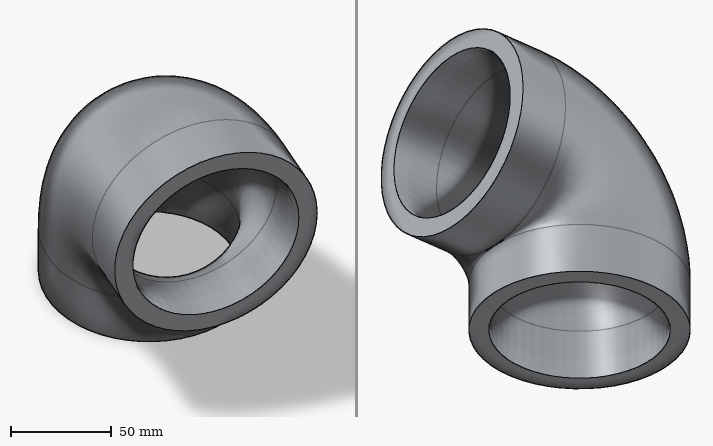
import cadquery as cq

overall_length = 137.5
outer_diameter = 110.0
bore_diameter = 90.0
collar_length = 27.5

bend_radius = overall_length - collar_length - outer_diameter / 2
bend_angle = 90


def elbow(diameter):
    """Solid round bar: up the Z axis, through the bend, then out along +X."""
    radius = diameter / 2
    lower_collar = cq.Workplane("XY").circle(radius).extrude(collar_length)
    bend = (
        cq.Workplane("XY", origin=(0, 0, collar_length))
        .circle(radius)
        .revolve(bend_angle, (bend_radius, 0, 0), (bend_radius, 1, 0))
    )
    side_collar = (
        cq.Workplane("YZ", origin=(bend_radius, 0, collar_length + bend_radius))
        .circle(radius)
        .extrude(collar_length)
    )
    return lower_collar.union(bend).union(side_collar)


result = elbow(outer_diameter).cut(elbow(bore_diameter))